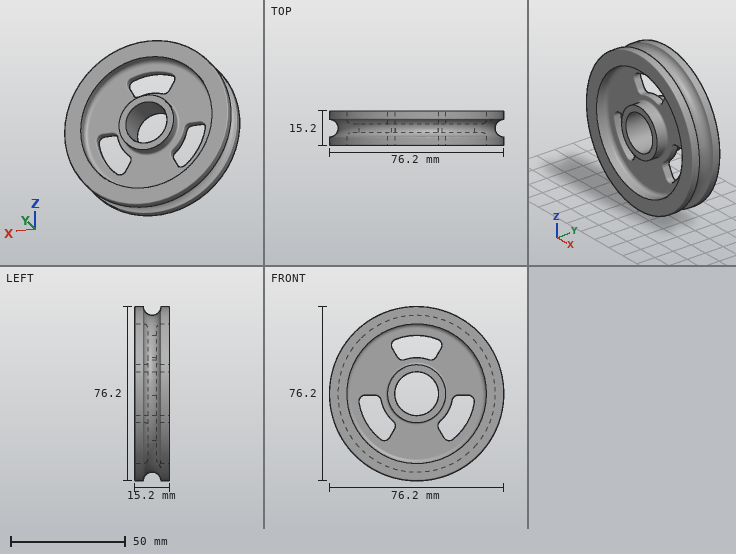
import cadquery as cq
import math

rim_diameter = 76.2
rim_width = 15.24
rim_inner_diameter = 60.96
rim_edge_radius = 0.508

groove_radius = 3.81
groove_edge_radius = 0.381

hub_diameter = 25.34
hub_width = rim_width
bore_diameter = 19.05

web_thickness = 3.81
web_rim_fillet = 1.905
web_hub_fillet = 0.9525

window_count = 3
window_inner_radius = 15.8
window_outer_radius = 25.4
window_half_angle = 30.0
window_side_offset = 0.7
window_corner_radius = 2.7
window_edge_radius = 0.508

tolerance = 0.001


def ring(outer_diameter, inner_diameter, width):
    """Ring about the Y axis, centred on the XZ plane."""
    return (
        cq.Workplane("XZ")
        .circle(outer_diameter / 2)
        .circle(inner_diameter / 2)
        .extrude(width / 2, both=True)
    )


def circle_edges_at(body, diameter, offsets):
    """Full-circle edges of one diameter at the given distances along Y."""
    def matches(edge):
        if edge.geomType() != "CIRCLE" or abs(edge.radius() - diameter / 2) > tolerance:
            return False
        return any(abs(edge.Center().y - offset) < tolerance for offset in offsets)

    return body.newObject([edge for edge in body.edges().vals() if matches(edge)])


def both_sides(distance):
    """Mirrored pair of offsets about the mid-plane."""
    return (-distance, distance)


def make_wheel():
    """Rim, web and hub in one piece, with filleted web corners."""
    rim = ring(rim_diameter, rim_inner_diameter, rim_width)
    web = ring(rim_inner_diameter, hub_diameter, web_thickness)
    hub = ring(hub_diameter, bore_diameter, hub_width)
    wheel = rim.union(web).union(hub)
    web_faces = both_sides(web_thickness / 2)
    wheel = circle_edges_at(wheel, rim_inner_diameter, web_faces).fillet(web_rim_fillet)
    wheel = circle_edges_at(wheel, hub_diameter, web_faces).fillet(web_hub_fillet)
    return circle_edges_at(wheel, rim_diameter, both_sides(rim_width / 2)).fillet(rim_edge_radius)


def cut_groove(wheel):
    """Half-round groove centred on the rim surface, with rounded lips."""
    groove = cq.Workplane("XY").add(
        cq.Solid.makeTorus(rim_diameter / 2, groove_radius, dir=cq.Vector(0, 1, 0))
    )
    grooved = wheel.cut(groove)
    return circle_edges_at(grooved, rim_diameter, both_sides(groove_radius)).fillet(groove_edge_radius)


def make_window():
    """Ring-sector prism above the hub, with rounded corners."""
    half_angle = math.radians(window_half_angle)
    sector_apex = window_side_offset / math.sin(half_angle)
    sector_top = rim_diameter / 2
    sector_half_width = (sector_top - sector_apex) * math.tan(half_angle)
    sector = (
        cq.Workplane("XZ")
        .moveTo(0, sector_apex)
        .lineTo(sector_half_width, sector_top)
        .lineTo(-sector_half_width, sector_top)
        .close()
        .extrude(web_thickness / 2, both=True)
    )
    band = ring(2 * window_outer_radius, 2 * window_inner_radius, web_thickness)
    return sector.intersect(band).edges("|Y").fillet(window_corner_radius)


def cut_windows(wheel):
    """Evenly spaced windows with rounded edges on both web faces."""
    window = make_window()
    window_zone_start = hub_diameter / 2 + web_hub_fillet + tolerance
    window_zone_end = rim_inner_diameter / 2 - web_rim_fillet - tolerance
    for index in range(window_count):
        turned = window.rotate((0, 0, 0), (0, 1, 0), index * 360 / window_count)
        wheel = wheel.cut(turned)

    def on_window_edge(edge):
        centre = edge.Center()
        distance = math.hypot(centre.x, centre.z)
        on_web_face = abs(abs(centre.y) - web_thickness / 2) < tolerance
        return on_web_face and window_zone_start < distance < window_zone_end

    edges = [edge for edge in wheel.edges().vals() if on_window_edge(edge)]
    return wheel.newObject(edges).fillet(window_edge_radius)


result = cut_windows(cut_groove(make_wheel()))